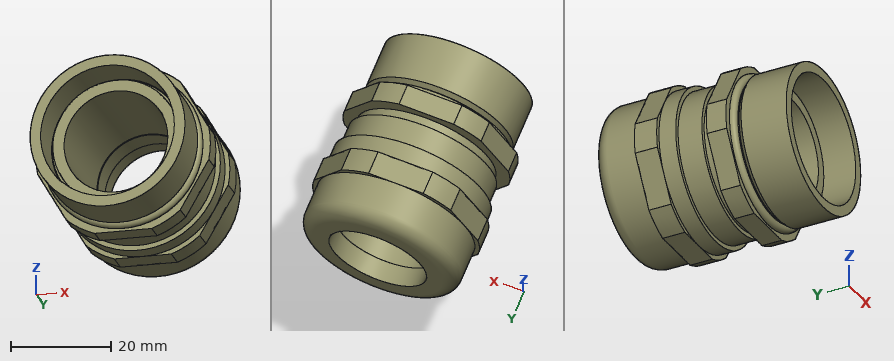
import cadquery as cq
import math

TOTAL_LENGTH = 43.0
ACROSS_FLATS = 34.0
ACROSS_CORNERS = 36.0

THREAD_RADIUS = 16.0
NECK_RADIUS = 15.0
BODY_BORE_RADIUS = 13.8
THREAD_LENGTH = 10.2
BODY_HEX_START = 12.55
BODY_HEX_END = 17.0
CAP_THREAD_START = 19.05

O_RING_OUTER_RADIUS = 16.5
O_RING_WIRE_RADIUS = 1.05
O_RING_CENTRE_Y = 12.35

INSERT_START = 6.8
SLEEVE_START = 8.6
INSERT_BORE_RADIUS = 10.7
NOSE_RADIUS = 13.05
SLEEVE_CHAMFER = 0.17

CAP_RADIUS = ACROSS_FLATS / 2
CAP_START = 24.42
CAP_HEX_START = 28.2
CAP_HEX_END = 33.25
CAP_ROUNDING = 2.92
CAP_LIP_THICKNESS = 4.3
CABLE_HOLE_RADIUS = 10.55

SEAL_START = CAP_HEX_END
SEAL_END = TOTAL_LENGTH - CAP_LIP_THICKNESS


def cylinder(radius, start, end):
    """Round bar on the Y axis between two Y positions."""
    return cq.Workplane("XZ", origin=(0, start, 0)).circle(radius).extrude(start - end)


def hexagon(start, end):
    """Hexagonal bar with flats on top and bottom and its corners turned round."""
    sharp_corner_diameter = ACROSS_FLATS / math.cos(math.pi / 6)
    bar = cq.Workplane("XZ", origin=(0, start, 0)).polygon(6, sharp_corner_diameter).extrude(start - end)
    return bar.intersect(cylinder(ACROSS_CORNERS / 2, start, end))


def make_o_ring():
    centre_radius = O_RING_OUTER_RADIUS - O_RING_WIRE_RADIUS
    section = cq.Workplane("XY").center(centre_radius, O_RING_CENTRE_Y).circle(O_RING_WIRE_RADIUS)
    return section.revolve(360, (-centre_radius, 0, 0), (-centre_radius, 1, 0))


def make_body(o_ring):
    relief_chamfer = THREAD_RADIUS - NECK_RADIUS
    half_section = [
        (0, 0),
        (THREAD_RADIUS, 0),
        (THREAD_RADIUS, THREAD_LENGTH),
        (NECK_RADIUS, THREAD_LENGTH + relief_chamfer),
        (NECK_RADIUS, CAP_THREAD_START),
        (THREAD_RADIUS, CAP_THREAD_START),
        (THREAD_RADIUS, SEAL_START),
        (0, SEAL_START),
    ]
    turned = cq.Workplane("XY").polyline(half_section).close().revolve(360, (0, 0, 0), (0, 1, 0))
    outside = turned.union(hexagon(BODY_HEX_START, BODY_HEX_END))
    bored = outside.cut(cylinder(BODY_BORE_RADIUS, 0, SEAL_START))
    return bored.cut(o_ring)


def make_insert():
    sleeve = cylinder(BODY_BORE_RADIUS, SLEEVE_START, SEAL_START).faces("<Y").chamfer(SLEEVE_CHAMFER)
    nose = cylinder(NOSE_RADIUS, INSERT_START, SLEEVE_START)
    return sleeve.union(nose).cut(cylinder(INSERT_BORE_RADIUS, INSERT_START, SEAL_START))


def make_seal():
    disc = cylinder(THREAD_RADIUS, SEAL_START, SEAL_END)
    return disc.cut(cylinder(CABLE_HOLE_RADIUS, SEAL_START, SEAL_END))


def make_cap():
    shell = cylinder(CAP_RADIUS, CAP_START, TOTAL_LENGTH).faces(">Y").edges().fillet(CAP_ROUNDING)
    outside = shell.union(hexagon(CAP_HEX_START, CAP_HEX_END))
    hollow = outside.cut(cylinder(THREAD_RADIUS, CAP_START, SEAL_END))
    return hollow.cut(cylinder(CABLE_HOLE_RADIUS, SEAL_END, TOTAL_LENGTH))


o_ring = make_o_ring()
body = make_body(o_ring)
insert = make_insert()
seal = make_seal()
cap = make_cap()

bodies = [body, o_ring, insert, seal, cap]
result = cq.Compound.makeCompound([each.solids().val() for each in bodies])